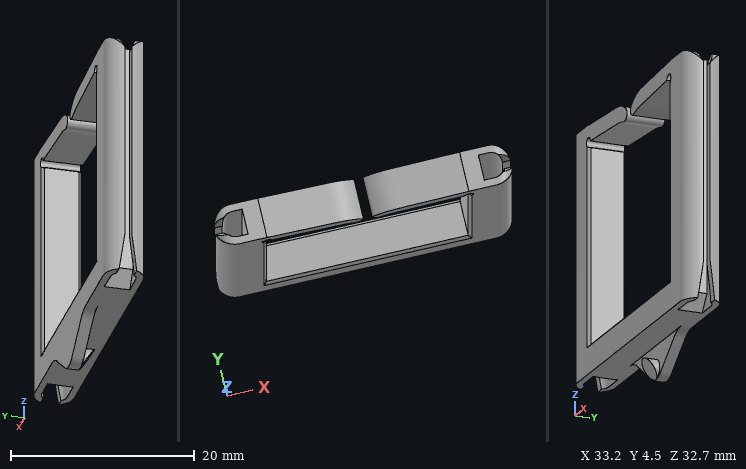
import cadquery as cq
import math

width = 33.2
thickness = 4.5
height = 28.82
half_thickness = thickness / 2

slot_half_width = 0.382
flare_half_width = 1.0
top_flare_height = 1.55
bottom_flare_height = 4.38

rail_radius = half_thickness
rail_center_x = width / 2 - math.sqrt(rail_radius**2 - slot_half_width**2)
rail_corner_radius = 1.65

channel_radius = 1.43
channel_center_x = 14.3
channel_floor_x = 13.2
floor_relief_height = 1.83
floor_relief_depth = 1.33

window_half_width = 11.3
window_bottom = 3.5
window_chamfer = 0.33
window_chamfer_top = 26.4
relief_radius = 0.53
relief_z = height - 2.05

arm_slope = math.radians(3.8)
arm_start_x = 12.12
arm_bend_x = 3.55
arm_under_bend_x = 2.9
arm_root_drop = 2.03
tip_radius = 0.75
tip_x = 1.23
tip_z = height - 2.2
tip_blend_angle = math.radians(45)
tip_under_angle = math.radians(-105)
arm_top_mid = (1.8, height - 0.95)
arm_under_mid = (2.12, height - 2.72)

tab_thickness = 1.33
tab_drop = 3.92
tab_slope = math.radians(36.5)
tab_tip_radius = 2.32
tab_root_radius = 3.32
pin_diameter = 2.3
pin_length = 1.5


def extrude_y(sketch, y_min, y_max):
    """Extrude an XZ sketch between two Y positions."""
    return sketch.extrude(-(y_max - y_min)).translate((0, y_min, 0))


def through_y(sketch):
    """Extrude an XZ sketch through the full thickness."""
    return extrude_y(sketch, -half_thickness, half_thickness)


def mirrored(half):
    """Add the mirror image on the other side of X = 0."""
    return half.union(half.mirror("YZ"))


def frame_blank():
    """Rounded slab with rounded upper corners."""
    slab = cq.Workplane("XY").slot2D(2 * (rail_center_x + rail_radius), thickness).extrude(height)
    outline = cq.Workplane("XZ").rect(width, 2 * height).extrude(half_thickness, both=True)
    outline = outline.edges("|Y and >Z").fillet(rail_corner_radius)
    return slab.intersect(outline)


def window():
    """Opening with chamfered front and back rims, before the arms are added."""
    opening = through_y(
        cq.Workplane("XZ")
        .moveTo(-window_half_width, window_bottom)
        .lineTo(window_half_width, window_bottom)
        .lineTo(window_half_width, height)
        .lineTo(-window_half_width, height)
        .close()
    )
    rim_height = window_chamfer_top - window_bottom + window_chamfer
    rim = (
        cq.Workplane("XZ", origin=(0, -half_thickness, window_bottom - window_chamfer + rim_height / 2))
        .rect(2 * (window_half_width + window_chamfer), rim_height)
        .workplane(offset=-window_chamfer)
        .center(0, window_chamfer / 2)
        .rect(2 * window_half_width, rim_height - window_chamfer)
        .loft(ruled=True)
    )
    return opening.union(rim).union(rim.mirror("XZ"))


def tip_point(angle):
    """Point on the round arm tip, with the angle measured from the gap side."""
    return tip_x - tip_radius * math.cos(angle), tip_z + tip_radius * math.sin(angle)


def arm():
    """Drooping spring arm on the +X side."""
    bend_z = height - (arm_start_x - arm_bend_x) * math.tan(arm_slope)
    root_z = height - arm_root_drop
    under_bend_z = root_z - (window_half_width - arm_under_bend_x) * math.tan(arm_slope)
    return through_y(
        cq.Workplane("XZ")
        .moveTo(arm_start_x, root_z)
        .lineTo(arm_start_x, height)
        .lineTo(arm_bend_x, bend_z)
        .threePointArc(arm_top_mid, tip_point(tip_blend_angle))
        .threePointArc(tip_point(0), tip_point(tip_under_angle))
        .threePointArc(arm_under_mid, (arm_under_bend_x, under_bend_z))
        .lineTo(window_half_width, root_z)
        .close()
    )


def relief_hole():
    """Round relief at the root of the +X arm."""
    return through_y(cq.Workplane("XZ").center(window_half_width, relief_z).circle(relief_radius))


def channel():
    """Channel along the +X rail, its floor running inward at the lower end."""
    tunnel = (
        cq.Workplane("XY")
        .moveTo(channel_floor_x, -channel_radius)
        .lineTo(channel_center_x, -channel_radius)
        .threePointArc((channel_center_x + channel_radius, 0), (channel_center_x, channel_radius))
        .lineTo(channel_floor_x, channel_radius)
        .close()
        .extrude(height)
    )
    floor_relief = extrude_y(
        cq.Workplane("XZ")
        .moveTo(channel_floor_x, 0)
        .lineTo(channel_floor_x, floor_relief_height)
        .lineTo(channel_floor_x - floor_relief_depth, 0)
        .close(),
        -channel_radius,
        channel_radius,
    )
    return tunnel.union(floor_relief)


def slot():
    """Slot through the +X rail wall, flared at both ends."""
    return (
        cq.Workplane("YZ", origin=(rail_center_x, 0, 0))
        .moveTo(-flare_half_width, 0)
        .lineTo(flare_half_width, 0)
        .lineTo(slot_half_width, bottom_flare_height)
        .lineTo(slot_half_width, height - top_flare_height)
        .lineTo(flare_half_width, height)
        .lineTo(-flare_half_width, height)
        .lineTo(-slot_half_width, height - top_flare_height)
        .lineTo(-slot_half_width, bottom_flare_height)
        .close()
        .extrude(2 * rail_radius)
    )


def tab():
    """Triangular tab flush with the back, with a rounded tip and blended roots."""
    tip_center_z = tab_tip_radius - tab_drop
    side_x = tab_tip_radius * math.sin(tab_slope)
    side_z = tip_center_z - tab_tip_radius * math.cos(tab_slope)
    corner_x = side_x - side_z / math.tan(tab_slope)
    blend = tab_root_radius * math.tan(tab_slope / 2)
    root_x = corner_x + blend
    blend_x = corner_x - blend * math.cos(tab_slope)
    blend_z = -blend * math.sin(tab_slope)
    mid_x = root_x - tab_root_radius * math.sin(tab_slope / 2)
    mid_z = -tab_root_radius * (1 - math.cos(tab_slope / 2))
    return extrude_y(
        cq.Workplane("XZ")
        .moveTo(-root_x, 0)
        .threePointArc((-mid_x, mid_z), (-blend_x, blend_z))
        .lineTo(-side_x, side_z)
        .threePointArc((0, -tab_drop), (side_x, side_z))
        .lineTo(blend_x, blend_z)
        .threePointArc((mid_x, mid_z), (root_x, 0))
        .lineTo(root_x, window_bottom / 2)
        .lineTo(-root_x, window_bottom / 2)
        .close(),
        half_thickness - tab_thickness,
        half_thickness,
    )


def pin():
    """Round pin cut obliquely, longest at its upper side."""
    face_y = half_thickness - tab_thickness
    pin_bottom = -tab_drop
    pin_top = pin_bottom + pin_diameter
    cylinder = extrude_y(
        cq.Workplane("XZ").center(0, pin_bottom + pin_diameter / 2).circle(pin_diameter / 2),
        face_y - pin_length,
        half_thickness,
    )
    wedge = (
        cq.Workplane("YZ")
        .moveTo(face_y, pin_bottom)
        .lineTo(half_thickness, pin_bottom)
        .lineTo(half_thickness, pin_top)
        .lineTo(face_y - pin_length, pin_top)
        .close()
        .extrude(pin_diameter, both=True)
    )
    return cylinder.intersect(wedge)


result = (
    frame_blank()
    .cut(window())
    .union(mirrored(arm()))
    .cut(mirrored(relief_hole()))
    .cut(mirrored(channel()))
    .cut(mirrored(slot()))
    .union(tab())
    .union(pin())
)